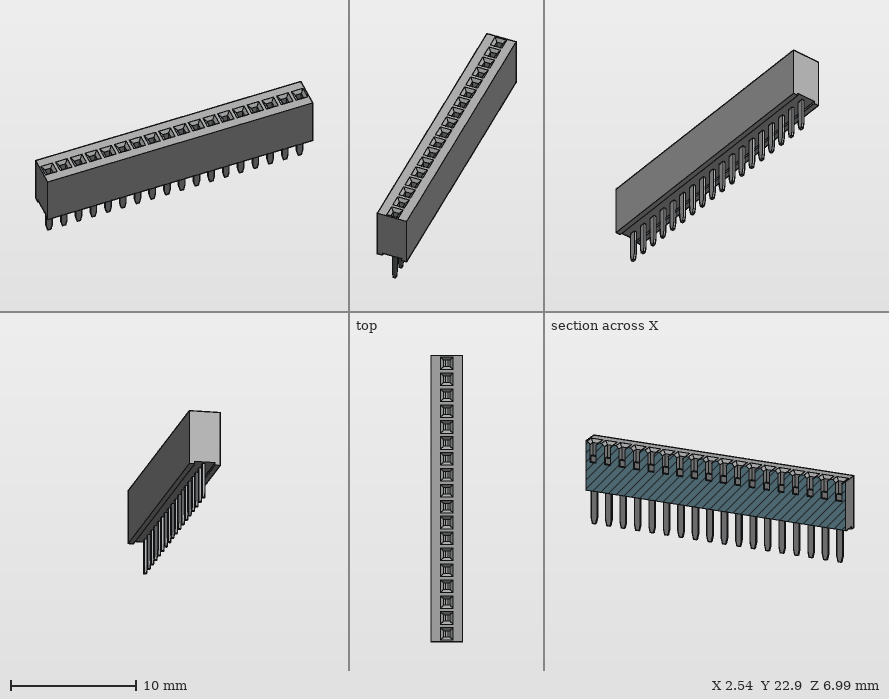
import cadquery as cq

CONTACT_COUNT = 18
LENGTH = 22.85
WIDTH = 2.54
HOUSING_HEIGHT = 4.41
PIN_REACH = 2.58
PITCH = LENGTH / CONTACT_COUNT

FOOT_WIDTH = 0.43
FOOT_HEIGHT = 0.2

LEAD_IN_SIZE = 1.0
WELL_SIZE = 0.5
LEAD_IN_DEPTH = (LEAD_IN_SIZE - WELL_SIZE) / 2
WELL_DEPTH = 1.5

PIN_THICKNESS = 0.2
PIN_WIDTH = 0.5
TIP_WIDTH = 0.27
TIP_LENGTH = 0.5
BLADE_IN_WELL = 0.5

CONTACT_POSITIONS = [(index - (CONTACT_COUNT - 1) / 2) * PITCH for index in range(CONTACT_COUNT)]


def make_housing():
    """Rectangular bar with a full-length groove underneath."""
    bar = cq.Workplane("XY").box(WIDTH, LENGTH, HOUSING_HEIGHT, centered=(True, True, False))
    groove = cq.Workplane("XY").box(
        WIDTH - 2 * FOOT_WIDTH, LENGTH, FOOT_HEIGHT, centered=(True, True, False)
    )
    return bar.cut(groove)


def make_socket():
    """Solid to remove for one socket, centred on Y = 0."""
    lead_in = (
        cq.Workplane("XY", origin=(0, 0, HOUSING_HEIGHT))
        .rect(LEAD_IN_SIZE, LEAD_IN_SIZE)
        .workplane(offset=-LEAD_IN_DEPTH)
        .rect(WELL_SIZE, WELL_SIZE)
        .loft(ruled=True)
    )
    well = cq.Workplane("XY", origin=(0, 0, HOUSING_HEIGHT - LEAD_IN_DEPTH - WELL_DEPTH)).box(
        WELL_SIZE, WELL_SIZE, WELL_DEPTH, centered=(True, True, False)
    )
    return lead_in.union(well)


def make_pin():
    """One pin, from its blade inside the well to its tip, centred on Y = 0."""
    top = HOUSING_HEIGHT - LEAD_IN_DEPTH - WELL_DEPTH + BLADE_IN_WELL
    shoulder = TIP_LENGTH - PIN_REACH
    outline = [
        (-PIN_WIDTH / 2, top),
        (PIN_WIDTH / 2, top),
        (PIN_WIDTH / 2, shoulder),
        (TIP_WIDTH / 2, -PIN_REACH),
        (-TIP_WIDTH / 2, -PIN_REACH),
        (-PIN_WIDTH / 2, shoulder),
    ]
    return cq.Workplane("YZ").polyline(outline).close().extrude(PIN_THICKNESS / 2, both=True)


def repeat_contacts(shape):
    """Copies of a shape at every contact position along Y."""
    copies = cq.Workplane("XY")
    for position in CONTACT_POSITIONS:
        copies = copies.add(shape.translate((0, position, 0)))
    return copies.combine()


result = make_housing().cut(repeat_contacts(make_socket())).union(repeat_contacts(make_pin()))